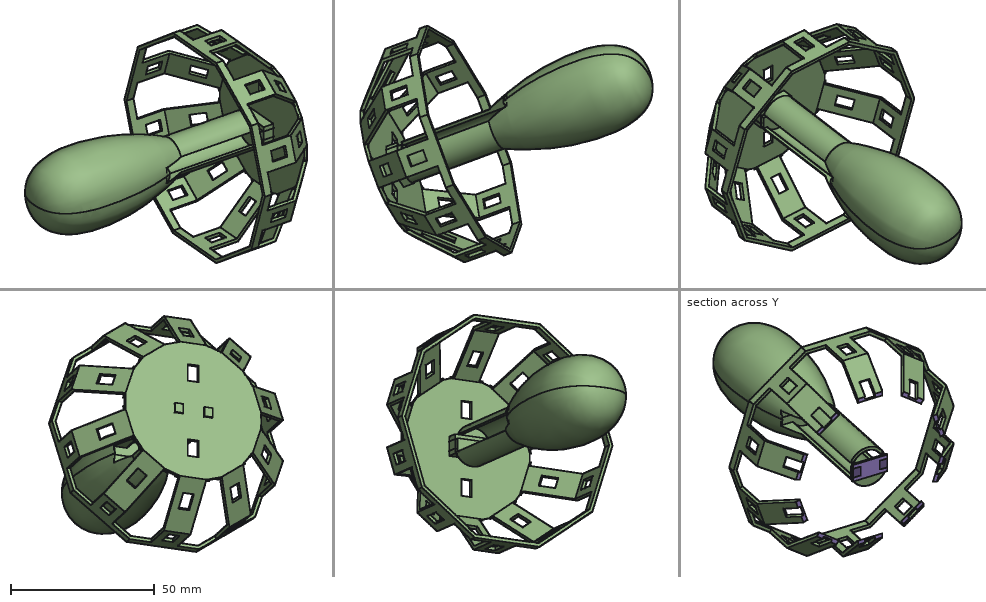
import cadquery as cq
import math


SIDES = 10
RIM_APOTHEM = 40.0
PLATE_APOTHEM = 25.0
CAGE_HEIGHT = 30.0
BEND_HEIGHT = CAGE_HEIGHT / 2
SLOPE_ANGLE = math.atan2(RIM_APOTHEM - PLATE_APOTHEM, CAGE_HEIGHT - BEND_HEIGHT)
RIM_HEIGHT = 3.0
WALL = 1.3
SPOKE_WIDTH = 9.9
CORNER_FILLET = 1.5

WINDOW_WIDTH = 4.0
WINDOW_LENGTH = 6.2
SLOPE_WINDOW_DISTANCE = 11.9
PLATE_WINDOW_RADIUS = 14.0

SHAFT_RADIUS = 7.3
SHAFT_BORE_RADIUS = SHAFT_RADIUS - WALL
SLOT_HALF_HEIGHT = 3.1
SLOT_HALF_WIDTH = 10.2
SLOT_END = -19.2
GRIP_START = -10.5
GRIP_END = -68.6
GRIP_PROFILE = [(10.3, -18.1), (13.2, -27.6), (14.9, -37.2), (15.5, -46.9), (14.5, -56.4), (11.3, -63.7)]
LOWER_SHAFT_TOP = 24.5
END_WALL = 1.5
UPPER_SHAFT_TOP = LOWER_SHAFT_TOP - END_WALL

SOCKET_HALF_WIDTH = 7.0
SOCKET_HALF_HEIGHT = 3.5
TAB_HALF_HEIGHT = 1.7
TAB_WIDTH = 3.0
TAB_TOP = CAGE_HEIGHT + 0.7


def box_between(low, high):
    """Axis-aligned box between two opposite corners."""
    size = [b - a for a, b in zip(low, high)]
    return cq.Workplane("XY").box(*size, centered=False).translate(low)


def around_axis(shape, index):
    """Turn a shape built on the +Z side to flat number `index`."""
    return shape.rotate((0, 0, 0), (0, 1, 0), index * 360 / SIDES)


def cylinder(radius, bottom, top):
    """Cylinder on the Y axis."""
    return cq.Workplane("XZ", origin=(0, top, 0)).circle(radius).extrude(top - bottom)


def make_rim():
    vertex_ratio = 1 / math.cos(math.pi / SIDES)
    outer_diameter = 2 * RIM_APOTHEM * vertex_ratio
    inner_diameter = 2 * (RIM_APOTHEM - WALL) * vertex_ratio
    plane = cq.Workplane("XZ", origin=(0, RIM_HEIGHT, 0))
    return plane.polygon(SIDES, outer_diameter).polygon(SIDES, inner_diameter).extrude(RIM_HEIGHT)


def make_strip(width):
    """Plain bent strip on the +Z side, one wall thick."""
    bend_shift = WALL * math.tan(SLOPE_ANGLE / 2)
    top_shift = WALL * math.tan((math.pi / 2 - SLOPE_ANGLE) / 2)
    inner_apothem = RIM_APOTHEM - WALL
    outline = [
        (0, RIM_APOTHEM),
        (BEND_HEIGHT, RIM_APOTHEM),
        (CAGE_HEIGHT, PLATE_APOTHEM),
        (CAGE_HEIGHT - WALL, PLATE_APOTHEM - top_shift),
        (BEND_HEIGHT - bend_shift, inner_apothem),
        (0, inner_apothem),
    ]
    return cq.Workplane("YZ").polyline(outline).close().extrude(width / 2, both=True)


def make_spoke():
    """Strip with a window in each of its two legs."""
    window = cq.Workplane("XY").box(WINDOW_WIDTH, WINDOW_LENGTH, 4 * WALL)
    straight_centre = (0, (RIM_HEIGHT + BEND_HEIGHT) / 2, RIM_APOTHEM)
    slope_centre = (
        0,
        BEND_HEIGHT + SLOPE_WINDOW_DISTANCE * math.cos(SLOPE_ANGLE),
        RIM_APOTHEM - SLOPE_WINDOW_DISTANCE * math.sin(SLOPE_ANGLE),
    )
    tilted_window = window.rotate((0, 0, 0), (1, 0, 0), -math.degrees(SLOPE_ANGLE))
    spoke = make_strip(SPOKE_WIDTH).cut(window.translate(straight_centre))
    return spoke.cut(tilted_window.translate(slope_centre))


def make_end_plate():
    """Flat plate whose outline joins the top corners of neighbouring spokes."""
    corner_radius = math.hypot(PLATE_APOTHEM, SPOKE_WIDTH / 2)
    corner_angle = math.atan2(SPOKE_WIDTH / 2, PLATE_APOTHEM)
    corners = []
    for index in range(SIDES):
        flat_angle = math.pi / 2 + index * 2 * math.pi / SIDES
        for angle in (flat_angle - corner_angle, flat_angle + corner_angle):
            corners.append((corner_radius * math.cos(angle), corner_radius * math.sin(angle)))
    plate = cq.Workplane("XZ", origin=(0, CAGE_HEIGHT, 0)).polyline(corners).close().extrude(WALL)

    window = cq.Workplane("XY").box(WINDOW_WIDTH, 4 * WALL, WINDOW_LENGTH)
    for side in (-1, 1):
        plate = plate.cut(window.translate((0, CAGE_HEIGHT, side * PLATE_WINDOW_RADIUS)))
    return plate


def make_corner_web(side):
    """Concave fillet between the end plate and one side of the spoke on the +Z side.

    It stays inside the sloping wall of the cage and inside the flat edge of the plate.
    """
    plate_bottom = CAGE_HEIGHT - WALL
    edge = side * SPOKE_WIDTH / 2
    reach = side * CORNER_FILLET
    middle = CORNER_FILLET * (1 - math.sqrt(0.5))
    start = PLATE_APOTHEM - WALL
    fillet = (
        cq.Workplane("XY", origin=(0, 0, start))
        .moveTo(edge, plate_bottom)
        .lineTo(edge + reach, plate_bottom)
        .threePointArc((edge + side * middle, plate_bottom - middle), (edge, plate_bottom - CORNER_FILLET))
        .close()
        .extrude(PLATE_APOTHEM - start)
    )
    return fillet.intersect(make_strip(SPOKE_WIDTH + 2 * CORNER_FILLET))


def make_tabs():
    """Two tabs that stand on the end wall and pass through the end plate."""
    tabs = cq.Workplane("XY")
    for left in (-SOCKET_HALF_WIDTH, SOCKET_HALF_WIDTH - TAB_WIDTH):
        tabs = tabs.add(
            box_between(
                (left, LOWER_SHAFT_TOP, -TAB_HALF_HEIGHT),
                (left + TAB_WIDTH, TAB_TOP, TAB_HALF_HEIGHT),
            )
        )
    return tabs


def make_cage():
    cage = make_rim().union(make_end_plate())
    spoke = make_spoke()
    webs = [make_corner_web(side) for side in (-1, 1)]
    for index in range(SIDES):
        cage = cage.union(around_axis(spoke, index))
        for web in webs:
            cage = cage.union(around_axis(web, index))
    socket = box_between(
        (-SOCKET_HALF_WIDTH, LOWER_SHAFT_TOP, -SOCKET_HALF_HEIGHT),
        (SOCKET_HALF_WIDTH, CAGE_HEIGHT, SOCKET_HALF_HEIGHT),
    )
    cage = cage.union(socket)
    for tab in make_tabs().vals():
        cage = cage.cut(cq.Workplane(tab))
    return cage


def make_handle_half(side, shaft_top):
    """Half of the grip with its prong; `side` is +1 for the +Z half and -1 for the -Z half."""
    grip = (
        cq.Workplane("XY")
        .moveTo(0, GRIP_START)
        .lineTo(SHAFT_RADIUS, GRIP_START)
        .spline(GRIP_PROFILE + [(0, GRIP_END)], tangents=[(0.5, -1), (-1, 0)], includeCurrent=True)
        .close()
        .revolve(360, (0, 0, 0), (0, 1, 0))
    )
    handle = grip.union(cylinder(SHAFT_RADIUS, GRIP_START, shaft_top))
    handle = handle.cut(cylinder(SHAFT_BORE_RADIUS, SLOT_END, shaft_top))
    slot = box_between(
        (-SLOT_HALF_WIDTH, SLOT_END, -SLOT_HALF_HEIGHT),
        (SLOT_HALF_WIDTH, shaft_top, SLOT_HALF_HEIGHT),
    )
    extent = CAGE_HEIGHT - GRIP_END
    half_space = cq.Workplane("XY").box(2 * extent, 2 * extent, 2 * extent).translate((0, 0, side * extent))
    return handle.cut(slot).intersect(half_space)


def make_lower_half():
    """The -Z half: an end wall closes its prong and carries the tabs."""
    slot_side = math.sqrt(SHAFT_RADIUS**2 - SLOT_HALF_HEIGHT**2)
    end_wall = cylinder(SHAFT_RADIUS, UPPER_SHAFT_TOP, LOWER_SHAFT_TOP).intersect(
        box_between(
            (-slot_side, UPPER_SHAFT_TOP, -SHAFT_RADIUS),
            (slot_side, LOWER_SHAFT_TOP, TAB_HALF_HEIGHT),
        )
    )
    lower = make_handle_half(-1, LOWER_SHAFT_TOP).union(end_wall)
    for tab in make_tabs().vals():
        lower = lower.union(cq.Workplane(tab))
    return lower


cage = make_cage()
upper_half = make_handle_half(1, UPPER_SHAFT_TOP)
lower_half = make_lower_half()

result = cq.Compound.makeCompound([cage.val(), upper_half.val(), lower_half.val()])